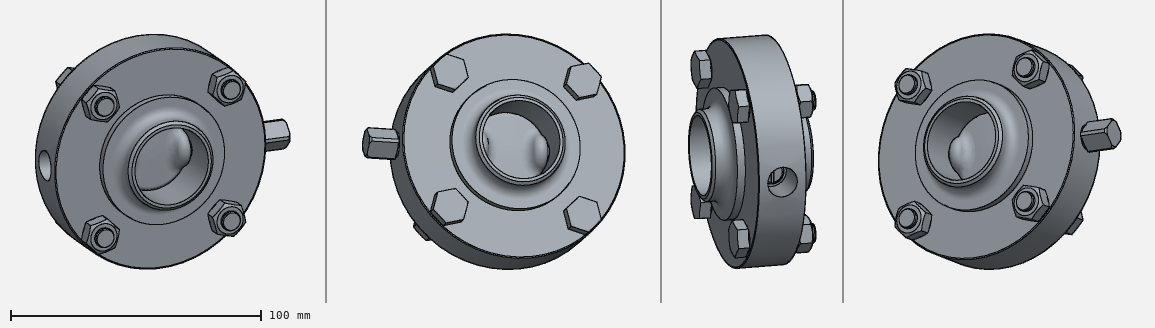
import cadquery as cq
import math

flange_d = 92.0
flange_half_width = 9.9
flange_chamfer_height = 0.5
flange_chamfer_length = 0.25

overall_length = 42.0
bore_d = 32.0
pipe_d = 37.0
pipe_end_chamfer_length = 1.1
pipe_end_chamfer_height = 1.2
hub_d = 53.0
hub_half_width = 13.2
neck_fillet_r = 4.1

bolt_count = 4
bolt_circle_r = 38.9
bolt_first_angle = 45.0
bolt_pitch_angle = 360 / bolt_count
hex_turn_angle = 90.0
bolt_d = 8.0
bolt_tip_d = 7.32
bolt_tip_chamfer = 0.6
bolt_end_x = 18.1
hex_across_flats = 13.0
head_face_d = 12.8
head_chamfer_angle = 10.0
nut_seat_d = 12.2
nut_outer_d = 11.4
nut_chamfer_angle = 30.0
washer_face_d = 11.4
washer_face_height = 0.6
head_height = 5.3
nut_height = 6.5

shaft_hole_d = 12.2
shaft_hole_depth = 16.0
shaft_hole_bottom_y = -flange_d / 2 + shaft_hole_depth
shaft_d = 10.0
shaft_end_d = 8.0
shaft_end_protrusion = 1.5
slot_width = 1.1
slot_depth = 0.5
drive_d = 12.2
drive_across_flats = 9.6
drive_start_y = 46.5
drive_end_y = 58.5
drive_end_chamfer = 0.8

disc_half_thickness = 2.0
disc_rim_round = 1.9
disc_center_d = 4.13
disc_center_rise = 0.4
boss_r = 7.8
boss_inner_y = 9.2
boss_outer_y = 15.4
boss_middle_y = (boss_inner_y + boss_outer_y) / 2
boss_blend_r = 4.3
joint_tolerance = 0.5


def cylinder_x(diameter, x_start, x_end):
    return cq.Workplane("YZ", origin=(x_start, 0, 0)).circle(diameter / 2).extrude(x_end - x_start)


def cylinder_y(diameter, y_start, y_end):
    plane = cq.Plane(origin=(0, y_start, 0), xDir=(1, 0, 0), normal=(0, 1, 0))
    return cq.Workplane(plane).circle(diameter / 2).extrude(y_end - y_start)


def half_housing():
    """Body profile on the +X side, revolved about the pipe axis."""
    flange_r = flange_d / 2
    pipe_r = pipe_d / 2
    end_x = overall_length / 2
    arc_mid = neck_fillet_r * (1 - math.sqrt(0.5))
    profile = (
        cq.Workplane("XY")
        .moveTo(0, bore_d / 2)
        .lineTo(0, flange_r)
        .lineTo(flange_half_width - flange_chamfer_length, flange_r)
        .lineTo(flange_half_width, flange_r - flange_chamfer_height)
        .lineTo(flange_half_width, hub_d / 2)
        .lineTo(hub_half_width, hub_d / 2)
        .lineTo(hub_half_width, pipe_r + neck_fillet_r)
        .threePointArc(
            (hub_half_width + arc_mid, pipe_r + arc_mid),
            (hub_half_width + neck_fillet_r, pipe_r),
        )
        .lineTo(end_x - pipe_end_chamfer_length, pipe_r)
        .lineTo(end_x, pipe_r - pipe_end_chamfer_height)
        .lineTo(end_x, bore_d / 2)
        .close()
    )
    return profile.revolve(360, (0, 0, 0), (1, 0, 0))


def housing():
    half = half_housing()
    body = half.union(half.mirror("YZ"))
    return body.cut(cylinder_y(shaft_hole_d, -flange_d / 2, shaft_hole_bottom_y))


def hexagon(x_start, x_end):
    corner_d = 2 * hex_across_flats / math.sqrt(3)
    return cq.Workplane("YZ", origin=(x_start, 0, 0)).polygon(6, corner_d).extrude(x_end - x_start)


def corner_cone(face_x, back_x, face_d, chamfer_angle):
    """Frustum that widens from face_x to back_x and trims hexagon corners at face_x."""
    face_r = face_d / 2
    back_r = face_r + abs(back_x - face_x) / math.tan(math.radians(chamfer_angle))
    profile = (
        cq.Workplane("XY")
        .moveTo(face_x, 0)
        .lineTo(face_x, face_r)
        .lineTo(back_x, back_r)
        .lineTo(back_x, 0)
        .close()
    )
    return profile.revolve(360, (0, 0, 0), (1, 0, 0))


def bolt_with_nut():
    """Bolt along X on the pipe axis, with one hexagon corner toward +Y."""
    head_x = -flange_half_width - head_height
    washer_x = -flange_half_width - washer_face_height
    nut_end_x = flange_half_width + nut_height
    head = hexagon(head_x, washer_x)
    head = head.intersect(corner_cone(head_x, washer_x, head_face_d, head_chamfer_angle))
    washer_face = cylinder_x(washer_face_d, washer_x, -flange_half_width)
    nut = hexagon(flange_half_width, nut_end_x)
    nut = nut.intersect(corner_cone(flange_half_width, nut_end_x, nut_seat_d, nut_chamfer_angle))
    nut = nut.intersect(corner_cone(nut_end_x, flange_half_width, nut_outer_d, nut_chamfer_angle))
    tip_step = (bolt_d - bolt_tip_d) / 2
    shank = (
        cylinder_x(bolt_d, washer_x, bolt_end_x)
        .faces(">X").edges().chamfer(bolt_tip_chamfer, tip_step)
    )
    return head.union(washer_face).union(nut).union(shank)


def bolts():
    """Bolts on the bolt circle, each with a hexagon corner along the circle's tangent."""
    first = (
        bolt_with_nut()
        .rotate((0, 0, 0), (1, 0, 0), hex_turn_angle)
        .translate((0, bolt_circle_r, 0))
    )
    ring = first.rotate((0, 0, 0), (1, 0, 0), bolt_first_angle)
    for i in range(1, bolt_count):
        angle = bolt_first_angle + i * bolt_pitch_angle
        ring = ring.union(first.rotate((0, 0, 0), (1, 0, 0), angle))
    return ring


def drive_end():
    """Square drive with its corners along X and Z, rounded to the drive diameter."""
    plane = cq.Plane(origin=(0, drive_start_y, 0), xDir=(1, 0, 0), normal=(0, 1, 0))
    square = (
        cq.Workplane(plane)
        .transformed(rotate=(0, 0, 45))
        .rect(drive_across_flats, drive_across_flats)
        .extrude(drive_end_y - drive_start_y)
    )
    round_bar = (
        cylinder_y(drive_d, drive_start_y, drive_end_y)
        .faces(">Y").edges().chamfer(drive_end_chamfer)
    )
    return square.intersect(round_bar)


def shaft():
    end_y = shaft_hole_bottom_y - shaft_end_protrusion
    slotted_end = (
        cylinder_y(shaft_d, end_y, -boss_middle_y)
        .faces("<Y").edges().chamfer((shaft_d - shaft_end_d) / 2)
    )
    slot = cq.Workplane("XY").box(slot_width, 2 * slot_depth, shaft_d).translate((0, end_y, 0))
    neck = cylinder_y(shaft_d, boss_middle_y, drive_start_y)
    return slotted_end.cut(slot).union(neck).union(drive_end())


def disc_boss():
    """Shaft boss on the +Y side of the disc: a roller about the shaft axis with a full-round rim."""
    round_r = (boss_outer_y - boss_inner_y) / 2
    flat_r = boss_r - round_r
    profile = (
        cq.Workplane("XY")
        .moveTo(0, boss_inner_y)
        .lineTo(flat_r, boss_inner_y)
        .threePointArc((boss_r, boss_middle_y), (flat_r, boss_outer_y))
        .lineTo(0, boss_outer_y)
        .close()
    )
    return profile.revolve(360, (0, 0, 0), (0, 1, 0))


def blend_boss(disc, boss, side):
    """Add a boss on the given Y side (1 or -1) and blend it into both faces of the disc."""
    joined = disc.union(boss)

    def is_joint(edge):
        center = edge.Center()
        on_face = abs(abs(center.x) - disc_half_thickness) < joint_tolerance
        beside_boss = disc_center_d < side * center.y < boss_outer_y - joint_tolerance
        farthest_z = max(abs(vertex.Z) for vertex in edge.Vertices())
        return on_face and beside_boss and farthest_z < boss_r

    joints = [edge for edge in joined.edges().vals() if is_joint(edge)]
    return joined.newObject(joints).fillet(boss_blend_r)


def disc_plate():
    """Disc with shallow conical faces, a small flat center and a rounded rim."""
    rim_r = bore_d / 2
    face_r = rim_r - disc_rim_round
    rim_x = disc_half_thickness - disc_rim_round
    center_x = disc_half_thickness + disc_center_rise
    round_mid = disc_rim_round * math.sqrt(0.5)
    half_plate = (
        cq.Workplane("XY")
        .lineTo(center_x, 0)
        .lineTo(center_x, disc_center_d / 2)
        .lineTo(disc_half_thickness, face_r)
        .threePointArc((rim_x + round_mid, face_r + round_mid), (rim_x, rim_r))
        .lineTo(0, rim_r)
        .close()
        .revolve(360, (0, 0, 0), (1, 0, 0))
    )
    return half_plate.union(half_plate.mirror("YZ"))


def closure_disc():
    boss = disc_boss()
    disc = blend_boss(disc_plate(), boss, 1)
    return blend_boss(disc, boss.mirror("XZ"), -1)


result = housing().union(bolts()).union(shaft()).union(closure_disc())